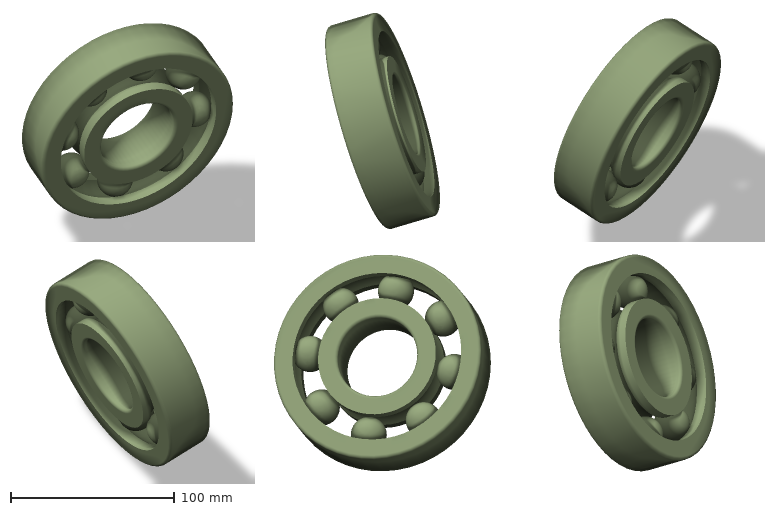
import cadquery as cq
import math

WIDTH = 31.0
OUTER_RADIUS = 65.0
OUTER_LAND_RADIUS = 52.9
INNER_LAND_RADIUS = 36.9
BORE_RADIUS = 25.0
EDGE_FILLET = 2.0

BALL_COUNT = 8
BALL_RADIUS = 11.0
PITCH_RADIUS = 46.0
INNER_RACEWAY_CENTER_RADIUS = 43.4
FIRST_BALL_ANGLE = 10.7


def make_ring(outside_radius, inside_radius):
    """Plain ring centred on the origin, around the X axis."""
    return (
        cq.Workplane("YZ")
        .circle(outside_radius)
        .circle(inside_radius)
        .extrude(WIDTH)
        .translate((-WIDTH / 2, 0, 0))
    )


def make_raceway(center_radius):
    """Torus with the section of a ball, used to cut a raceway."""
    return (
        cq.Workplane("XY")
        .center(0, center_radius)
        .circle(BALL_RADIUS)
        .revolve(360, (0, -center_radius), (1, -center_radius))
    )


def make_outer_ring():
    """Outer ring with rounded outside edges and a raceway in its inside face."""
    ring = make_ring(OUTER_RADIUS, OUTER_LAND_RADIUS)
    outside_edges = cq.selectors.RadiusNthSelector(-1)
    return ring.edges(outside_edges).fillet(EDGE_FILLET).cut(make_raceway(PITCH_RADIUS))


def make_inner_ring():
    """Inner ring with rounded bore edges and a raceway in its outside face."""
    ring = make_ring(INNER_LAND_RADIUS, BORE_RADIUS)
    bore_edges = cq.selectors.RadiusNthSelector(0)
    return ring.edges(bore_edges).fillet(EDGE_FILLET).cut(make_raceway(INNER_RACEWAY_CENTER_RADIUS))


def make_ball(index):
    """One ball on the pitch circle, counted from the first ball."""
    angle = math.radians(FIRST_BALL_ANGLE + index * 360 / BALL_COUNT)
    center = (0, PITCH_RADIUS * math.sin(angle), PITCH_RADIUS * math.cos(angle))
    return cq.Workplane("XY").sphere(BALL_RADIUS).translate(center)


outer_ring = make_outer_ring()
inner_ring = make_inner_ring()
balls = [make_ball(index) for index in range(BALL_COUNT)]

result = cq.Compound.makeCompound(
    [outer_ring.val(), inner_ring.val(), *[ball.val() for ball in balls]]
)